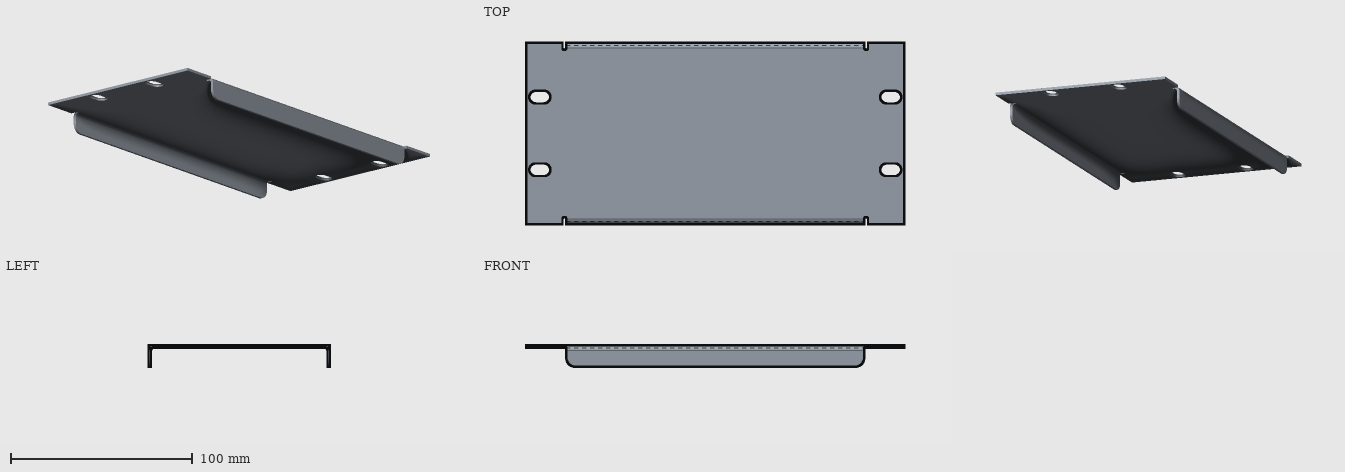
import cadquery as cq
import math

plate_length = 208.0
plate_width = 100.0
sheet = 1.5

slot_length = 11.5
slot_width = 6.8
slot_spacing_x = 193.0
slot_spacing_y = 40.0

overall_height = 12.0
flange_length = 164.0
flange_corner_radius = 5.0
bend_inner_radius = 1.5
bend_outer_radius = bend_inner_radius + sheet

notch_width = 2.0

half_width = plate_width / 2
bend_line = half_width - bend_outer_radius


def make_plate():
    """Flat sheet, cut back to the bend lines between its four corner tabs."""
    plate = cq.Workplane("XY").box(plate_length, plate_width, sheet, centered=(True, True, False))
    recess_length = flange_length + 2 * notch_width
    recess_centers = [(0, side * (bend_line + bend_outer_radius / 2)) for side in (-1, 1)]
    recesses = cq.Workplane("XY").pushPoints(recess_centers).rect(recess_length, bend_outer_radius)
    notch_ends = (
        cq.Workplane("XY")
        .rarray(flange_length + notch_width, 2 * bend_line, 2, 2)
        .circle(notch_width / 2)
    )
    return plate.cut(recesses.extrude(sheet)).cut(notch_ends.extrude(sheet))


def make_slots():
    """Cutters for the four mounting slots, two near each short edge."""
    return (
        cq.Workplane("XY")
        .rarray(slot_spacing_x, slot_spacing_y, 2, 2)
        .slot2D(slot_length, slot_width)
        .extrude(sheet)
    )


def make_flange():
    """Bend and flange on the -Y edge, with the two free corners rounded."""
    bottom = sheet - overall_height
    bend_z = sheet - bend_outer_radius
    inner_y = -half_width + sheet

    def arc_middle(radius):
        offset = radius * math.sin(math.radians(45))
        return (-bend_line - offset, bend_z + offset)

    profile = (
        cq.Workplane("YZ")
        .moveTo(-bend_line, sheet)
        .threePointArc(arc_middle(bend_outer_radius), (-half_width, bend_z))
        .lineTo(-half_width, bottom)
        .lineTo(inner_y, bottom)
        .lineTo(inner_y, bend_z)
        .threePointArc(arc_middle(bend_inner_radius), (-bend_line, 0))
        .close()
    )
    flange = profile.extrude(flange_length / 2, both=True)
    return flange.faces("<Z").edges("|Y").fillet(flange_corner_radius)


front_flange = make_flange()
back_flange = front_flange.mirror("XZ")
result = make_plate().cut(make_slots()).union(front_flange).union(back_flange)